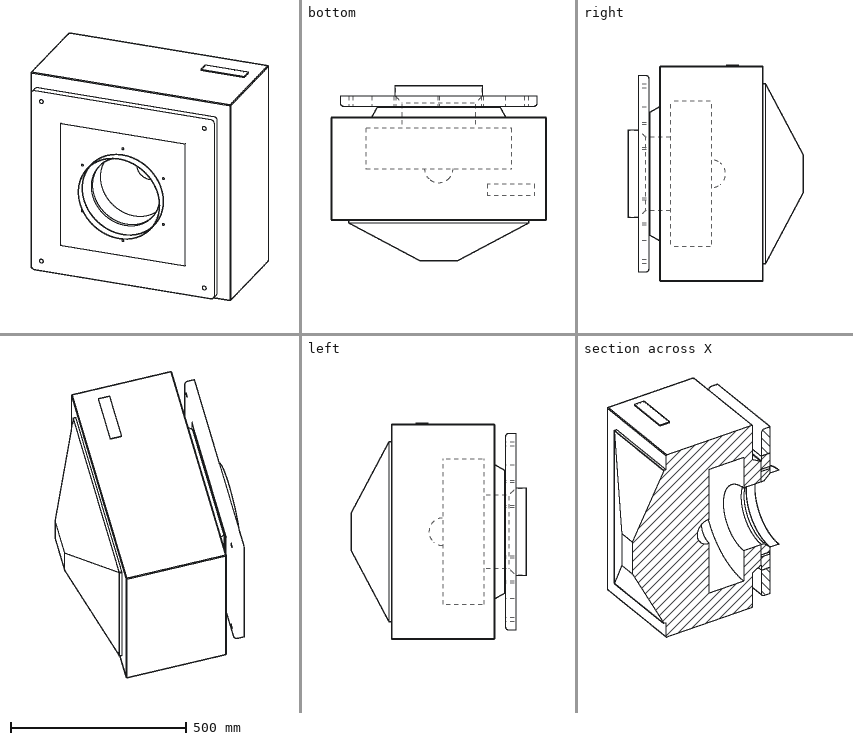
import cadquery as cq
import math

TOTAL_HEIGHT = 617.0
CASE_WIDTH = 614.0
BADGE_HEIGHT = TOTAL_HEIGHT - CASE_WIDTH

PIPE_LENGTH = 29.5
PLATE_THICKNESS = 30.0
NECK_LENGTH = 29.5
CASE_DEPTH = 295.5
HOOD_LIP = 7.5
HOOD_SLOPE_LENGTH = 107.5

PIPE_FRONT = 0.0
PLATE_FRONT = PIPE_FRONT + PIPE_LENGTH
PLATE_BACK = PLATE_FRONT + PLATE_THICKNESS
CASE_FRONT = PLATE_BACK + NECK_LENGTH
CASE_BACK = CASE_FRONT + CASE_DEPTH
HOOD_SHOULDER = CASE_BACK + HOOD_LIP

CASE_CHAMFER = 2.5
NECK_BASE_WIDTH = 382.0
NECK_TIP_WIDTH = 351.5
NECK_TIP_LENGTH = 2.5
HOOD_WIDTH = 516.0
HOOD_EDGE_CHAMFER = 2.0
HOOD_TOP_WIDTH = 107.5

BADGE_WIDTH = 133.0
BADGE_DEPTH = 33.5
BADGE_X = 206.0
BADGE_SETBACK = 87.5
BADGE_Y = CASE_BACK - BADGE_SETBACK

THROAT_RADIUS = 105.0
THROAT_END = CASE_FRONT + 31.0
CHAMBER_RADIUS = 207.5
CHAMBER_END = CASE_FRONT + CASE_DEPTH / 2
HUB_RADIUS = 40.0

PLATE_WIDTH = 561.5
PLATE_CORNER_RADIUS = 10.5
PLATE_HOLE_SPACING = 500.0
PLATE_HOLE_DIAMETER = 12.0

PANEL_WIDTH = NECK_BASE_WIDTH
PIPE_RADIUS = 125.0
PIPE_WALL = 1.0
BELL_LENGTH = 20.5
SCREW_COUNT = 6
SCREW_CIRCLE_RADIUS = 144.0
SCREW_HOLE_DIAMETER = 5.5


def facing_back(y):
    """Workplane at depth y whose normal points along +Y; its local X is the part's X."""
    return cq.Workplane("XZ", origin=(0, y, 0)).transformed(rotate=(180, 0, 0))


def block(width, front, back):
    """Centred square block between two depths."""
    return facing_back(front).rect(width, width).extrude(back - front)


def pyramid(front_width, back_width, front, back):
    """Centred square frustum between two depths."""
    return (
        facing_back(front)
        .rect(front_width, front_width)
        .workplane(offset=back - front)
        .rect(back_width, back_width)
        .loft(ruled=True)
    )


def cylinder(radius, front, back):
    """Round bar on the Y axis between two depths."""
    return facing_back(front).circle(radius).extrude(back - front)


def make_housing():
    """Case with its inlet neck, rear hood, badge and blind air passage."""
    case = block(CASE_WIDTH, CASE_FRONT, CASE_BACK).edges().chamfer(CASE_CHAMFER)

    neck_shoulder = PLATE_BACK + NECK_TIP_LENGTH
    neck_tip = block(NECK_TIP_WIDTH, PLATE_BACK, neck_shoulder)
    neck = pyramid(NECK_TIP_WIDTH, NECK_BASE_WIDTH, neck_shoulder, CASE_FRONT)

    lip = block(HOOD_WIDTH, CASE_BACK, HOOD_SHOULDER).edges("|Y").chamfer(HOOD_EDGE_CHAMFER)
    hood_base_width = HOOD_WIDTH - 2 * HOOD_EDGE_CHAMFER
    hood = pyramid(hood_base_width, HOOD_TOP_WIDTH, HOOD_SHOULDER, HOOD_SHOULDER + HOOD_SLOPE_LENGTH)

    badge = (
        cq.Workplane("XY", origin=(BADGE_X, BADGE_Y, CASE_WIDTH / 2))
        .rect(BADGE_WIDTH, BADGE_DEPTH)
        .extrude(BADGE_HEIGHT)
    )

    throat = cylinder(THROAT_RADIUS, PLATE_BACK, THROAT_END)
    chamber = cylinder(CHAMBER_RADIUS, THROAT_END, CHAMBER_END)
    hub_recess = cq.Workplane("XY", origin=(0, CHAMBER_END, 0)).sphere(HUB_RADIUS)

    housing = case.union(neck).union(neck_tip).union(lip).union(hood).union(badge)
    return housing.cut(throat).cut(chamber).cut(hub_recess)


def make_base_plate():
    """Square plate with rounded corners and back edge, a square window and corner holes."""
    plate = block(PLATE_WIDTH, PLATE_FRONT, PLATE_BACK)
    plate = plate.edges("|Y or >Y").fillet(PLATE_CORNER_RADIUS)
    window = block(PANEL_WIDTH, PLATE_FRONT, PLATE_BACK)
    corner_holes = (
        facing_back(PLATE_FRONT)
        .rect(PLATE_HOLE_SPACING, PLATE_HOLE_SPACING, forConstruction=True)
        .vertices()
        .circle(PLATE_HOLE_DIAMETER / 2)
        .extrude(PLATE_THICKNESS)
    )
    return plate.cut(window).cut(corner_holes)


def make_inlet_panel():
    """Square panel filling the plate window, with a pipe stub, a tapered inlet and screw holes."""
    panel = block(PANEL_WIDTH, PLATE_FRONT, PLATE_BACK)
    pipe = cylinder(PIPE_RADIUS, PIPE_FRONT, PLATE_FRONT)

    bore_radius = PIPE_RADIUS - PIPE_WALL
    bell_end = PLATE_FRONT + BELL_LENGTH
    bore = (
        cq.Workplane("XY")
        .moveTo(0, PIPE_FRONT)
        .lineTo(bore_radius, PIPE_FRONT)
        .lineTo(bore_radius, PLATE_FRONT)
        .lineTo(THROAT_RADIUS, bell_end)
        .lineTo(THROAT_RADIUS, PLATE_BACK)
        .lineTo(0, PLATE_BACK)
        .close()
        .revolve(360, (0, 0, 0), (0, 1, 0))
    )

    inlet = panel.union(pipe).cut(bore)
    for index in range(SCREW_COUNT):
        angle = math.radians(90 + index * 360 / SCREW_COUNT)
        x = SCREW_CIRCLE_RADIUS * math.cos(angle)
        z = SCREW_CIRCLE_RADIUS * math.sin(angle)
        screw_hole = cylinder(SCREW_HOLE_DIAMETER / 2, PLATE_FRONT, PLATE_BACK).translate((x, 0, z))
        inlet = inlet.cut(screw_hole)
    return inlet


housing = make_housing()
base_plate = make_base_plate()
inlet_panel = make_inlet_panel()

result = cq.Compound.makeCompound([housing.val(), base_plate.val(), inlet_panel.val()])